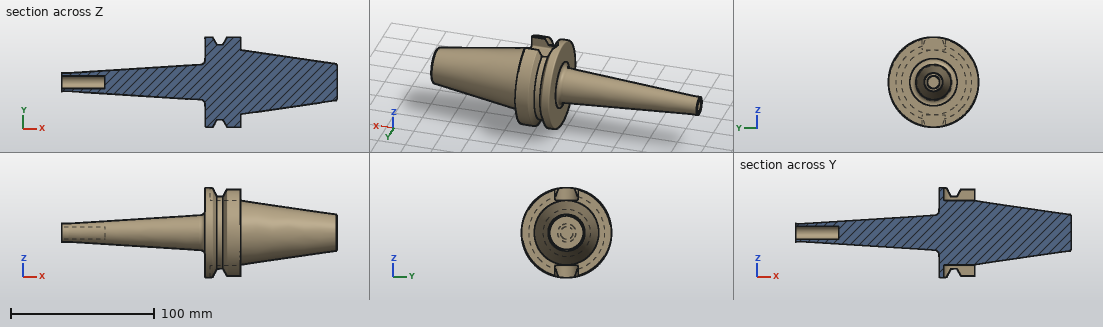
import cadquery as cq
import math


gauge_radius = 44.45 / 2
taper_slope = 7 / 48
taper_end_x = 65.4
taper_end_chamfer = 1.0

flange_radius = 63.0 / 2
flange_back_x = -2.0
flange_front_x = -27.0
flange_front_fillet = 1.0
flange_back_fillet = 0.5

pad_radius = 33.0 / 2
pad_height = 0.1

groove_center_x = -16.6
groove_floor_radius = 26.5
groove_floor_width = 4.2
groove_flank_angle = 30.0
groove_rim_fillet = 0.7

nose_length = 100.0
nose_tip_radius = 13.0 / 2
nose_tip_length = 5.0
nose_base_radius = 24.6 / 2
nose_base_length = 4.1
nose_root_fillet = 3.0
bore_diameter = 8.5
bore_depth = 30.0
nose_tip_chamfer = 0.25
bore_mouth_chamfer = 0.25

slot_width = 16.1
slot_floor_height = 22.6
slot_end_x = -23.6
slot_floor_fillet = 1.0
slot_edge_chamfer = 0.6

nose_tip_x = flange_front_x - nose_length
pad_face_x = flange_front_x - pad_height

select_margin = 0.1


def taper_radius(x):
    """Radius of the spindle taper at axial position x."""
    return gauge_radius - taper_slope * x


def make_body():
    """Revolve the nose, the plain flange and the taper as one profile."""
    profile = (
        cq.Workplane("XY")
        .moveTo(nose_tip_x, 0)
        .lineTo(nose_tip_x, nose_tip_radius - nose_tip_chamfer)
        .lineTo(nose_tip_x + nose_tip_chamfer, nose_tip_radius)
        .lineTo(nose_tip_x + nose_tip_length, nose_tip_radius)
        .lineTo(flange_front_x - nose_base_length, nose_base_radius)
        .lineTo(pad_face_x - nose_root_fillet, nose_base_radius)
        .radiusArc((pad_face_x, nose_base_radius + nose_root_fillet), -nose_root_fillet)
        .lineTo(pad_face_x, pad_radius)
        .lineTo(flange_front_x, pad_radius)
        .lineTo(flange_front_x, flange_radius - flange_front_fillet)
        .radiusArc((flange_front_x + flange_front_fillet, flange_radius), flange_front_fillet)
        .lineTo(flange_back_x - flange_back_fillet, flange_radius)
        .radiusArc((flange_back_x, flange_radius - flange_back_fillet), flange_back_fillet)
        .lineTo(flange_back_x, taper_radius(flange_back_x))
        .lineTo(taper_end_x - taper_end_chamfer, taper_radius(taper_end_x - taper_end_chamfer))
        .lineTo(taper_end_x, taper_radius(taper_end_x) - taper_end_chamfer)
        .lineTo(taper_end_x, 0)
        .close()
    )
    return profile.revolve(360, (0, 0, 0), (1, 0, 0))


def circle_edge_at(x):
    """Selector for a circular edge centred on the axis at axial position x."""
    low = (x - select_margin, -select_margin, -select_margin)
    high = (x + select_margin, select_margin, select_margin)
    return cq.selectors.BoxSelector(low, high)


def cut_gripper_groove(body):
    """Cut the trapezoidal groove and round its two rims."""
    floor_half = groove_floor_width / 2
    flank_run = (flange_radius - groove_floor_radius) * math.tan(math.radians(groove_flank_angle))
    rim_half = floor_half + flank_run
    cutter = (
        cq.Workplane("XY")
        .moveTo(groove_center_x - rim_half, flange_radius)
        .lineTo(groove_center_x - floor_half, groove_floor_radius)
        .lineTo(groove_center_x + floor_half, groove_floor_radius)
        .lineTo(groove_center_x + rim_half, flange_radius)
        .close()
        .revolve(360, (0, 0, 0), (1, 0, 0))
    )
    grooved = body.cut(cutter)
    for rim_x in (groove_center_x - rim_half, groove_center_x + rim_half):
        rim = circle_edge_at(rim_x)
        grooved = grooved.edges(rim).fillet(groove_rim_fillet)
    return grooved


def make_drive_slot_cutter():
    """Round-ended slot volume above the axis, with a rounded floor edge."""
    slot_radius = slot_width / 2
    arc_center_x = slot_end_x + slot_radius
    slot_depth = flange_radius - slot_floor_height
    return (
        cq.Workplane("XY", origin=(0, 0, slot_floor_height))
        .moveTo(flange_back_x, -slot_radius)
        .lineTo(arc_center_x, -slot_radius)
        .threePointArc((slot_end_x, 0), (arc_center_x, slot_radius))
        .lineTo(flange_back_x, slot_radius)
        .close()
        .extrude(slot_depth)
        .edges("<Z")
        .edges("not >X")
        .fillet(slot_floor_fillet)
    )


def make_slot_edge_chamfer_cutter():
    """Prism flaring at 45 degrees that bevels the slot edges of the rear collar."""
    half_width = slot_width / 2
    edge_height = math.sqrt(flange_radius**2 - half_width**2)
    flare_start = edge_height - slot_edge_chamfer
    flare_half_width = half_width + flange_radius - flare_start
    return (
        cq.Workplane("YZ", origin=(groove_center_x, 0, 0))
        .moveTo(-half_width, flare_start)
        .lineTo(half_width, flare_start)
        .lineTo(flare_half_width, flange_radius)
        .lineTo(-flare_half_width, flange_radius)
        .close()
        .extrude(flange_back_x - groove_center_x)
    )


def cut_drive_slots(body):
    """Cut the two opposite drive slots with their bevelled edges."""
    for angle in (0, 180):
        for cutter in (make_drive_slot_cutter(), make_slot_edge_chamfer_cutter()):
            body = body.cut(cutter.rotate((0, 0, 0), (1, 0, 0), angle))
    return body


def cut_bore(body):
    """Cut the blind bore in the nose tip and chamfer its mouth."""
    bore = cq.Workplane("YZ", origin=(nose_tip_x, 0, 0)).circle(bore_diameter / 2).extrude(bore_depth)
    mouth = cq.selectors.RadiusNthSelector(0)
    return body.cut(bore).faces("<X").edges(mouth).chamfer(bore_mouth_chamfer)


result = cut_bore(cut_drive_slots(cut_gripper_groove(make_body())))